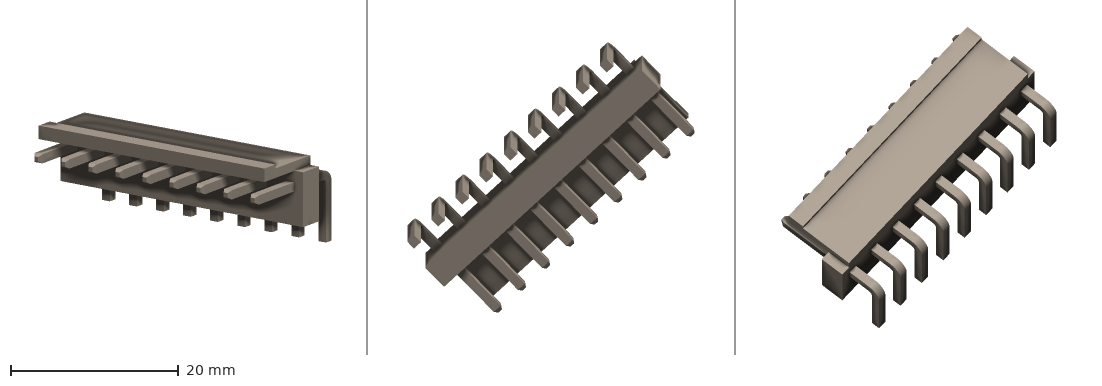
import cadquery as cq


length = 35.58
depth = 15.48
height = 12.1

wall_thickness = 3.2
wall_bottom = 3.63
wall_top = 10.42

shelf_end_setback = 1.25
shelf_length = length - 2 * shelf_end_setback
shelf_depth = 9.43
shelf_thickness = 1.17
lip_depth = 2.25

pin_count = 9
pin_row_span = 31.7
pin_pitch = pin_row_span / (pin_count - 1)
pin_width = 1.15
pin_axis_z = 8.4
tail_back = 4.6
inner_bend_radius = 0.55
outer_bend_radius = inner_bend_radius + pin_width
tip_taper_length = 0.5
taper_start = tail_back - depth + tip_taper_length
tip_width = 0.57


def make_wall():
    """Plain block across the full length."""
    wall_height = wall_top - wall_bottom
    return (
        cq.Workplane("XY", origin=(0, -wall_thickness / 2, wall_bottom))
        .rect(length, wall_thickness)
        .extrude(wall_height)
    )


def make_shelf():
    """Stepped side profile (Y, Z) extruded symmetrically along X."""
    shelf_top = wall_top + shelf_thickness
    lip_back = lip_depth - shelf_depth
    return (
        cq.Workplane("YZ")
        .moveTo(0, wall_top)
        .lineTo(0, shelf_top)
        .lineTo(lip_back, shelf_top)
        .lineTo(lip_back, height)
        .lineTo(-shelf_depth, height)
        .lineTo(-shelf_depth, wall_top)
        .close()
        .extrude(shelf_length / 2, both=True)
    )


def make_pin():
    """One pin centred on X = 0: L-shaped with a round bend and a tapered tip."""
    pin_top = pin_axis_z + pin_width / 2
    pin_bottom = pin_axis_z - pin_width / 2
    tail_front = tail_back - pin_width
    pin = (
        cq.Workplane("YZ")
        .moveTo(taper_start, pin_bottom)
        .lineTo(taper_start, pin_top)
        .lineTo(tail_back - outer_bend_radius, pin_top)
        .radiusArc((tail_back, pin_top - outer_bend_radius), outer_bend_radius)
        .lineTo(tail_back, 0)
        .lineTo(tail_front, 0)
        .lineTo(tail_front, pin_bottom - inner_bend_radius)
        .radiusArc((tail_front - inner_bend_radius, pin_bottom), -inner_bend_radius)
        .close()
        .extrude(pin_width / 2, both=True)
    )
    tip = (
        cq.Workplane("XZ", origin=(0, taper_start, pin_axis_z))
        .rect(pin_width, pin_width)
        .workplane(offset=tip_taper_length)
        .rect(tip_width, tip_width)
        .loft(ruled=True)
    )
    return pin.union(tip)


result = make_wall().union(make_shelf())
pin = make_pin()
for index in range(pin_count):
    pin_x = index * pin_pitch - pin_row_span / 2
    result = result.union(pin.translate((pin_x, 0, 0)))